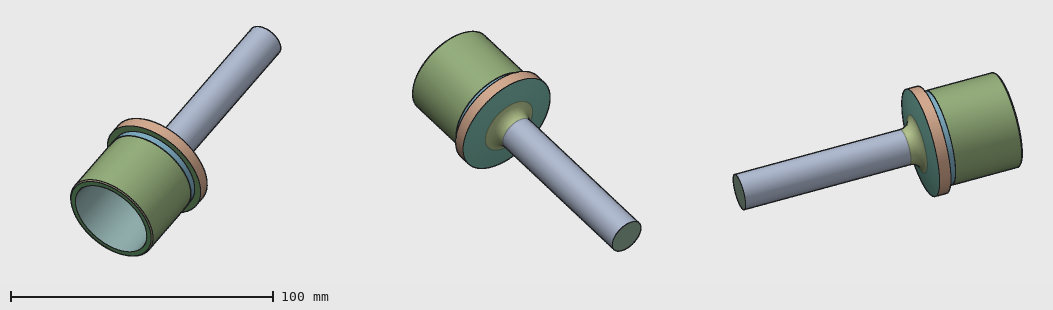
import cadquery as cq
import math

TOTAL_LENGTH = 108.0
RELIEF_START = 27.2
COLLAR_START = 30.0
COLLAR_END = 34.6

TUBE_DIAMETER = 42.4
TUBE_WALL = 2.5
COLLAR_RADIUS = TUBE_DIAMETER / 2
PLUG_RADIUS = COLLAR_RADIUS - TUBE_WALL
RELIEF_DEPTH = 0.2
RELIEF_RADIUS = PLUG_RADIUS - RELIEF_DEPTH
MOUTH_CHAMFER = 0.5

SHANK_RADIUS = 7.0
FLARE_RADIUS = 5.0
SHOULDER_RADIUS = 110.0

PLUG_WALL = 2.5
BORE_RADIUS = PLUG_RADIUS - PLUG_WALL
BORE_DEPTH = COLLAR_START
BORE_FLOOR_FILLET = 1.0


def outer_profile():
    """Half outline as (radius, Y), closed along the axis of revolution."""
    dome_centre_y = COLLAR_END - math.sqrt(SHOULDER_RADIUS**2 - COLLAR_RADIUS**2)

    flare_centre_radius = SHANK_RADIUS + FLARE_RADIUS
    centre_distance = SHOULDER_RADIUS + FLARE_RADIUS
    shank_start = dome_centre_y + math.sqrt(centre_distance**2 - flare_centre_radius**2)
    flare_sweep = math.acos(flare_centre_radius / centre_distance)

    def flare_point(angle):
        """Point on the flare at an angle turned from the shank end."""
        return (
            flare_centre_radius - FLARE_RADIUS * math.cos(angle),
            shank_start - FLARE_RADIUS * math.sin(angle),
        )

    return (
        cq.Workplane("ZY")
        .moveTo(0, 0)
        .lineTo(PLUG_RADIUS - MOUTH_CHAMFER, 0)
        .lineTo(PLUG_RADIUS, MOUTH_CHAMFER)
        .lineTo(PLUG_RADIUS, RELIEF_START)
        .lineTo(RELIEF_RADIUS, RELIEF_START)
        .lineTo(RELIEF_RADIUS, COLLAR_START)
        .lineTo(COLLAR_RADIUS, COLLAR_START)
        .lineTo(COLLAR_RADIUS, COLLAR_END)
        .radiusArc(flare_point(flare_sweep), -SHOULDER_RADIUS)
        .threePointArc(flare_point(flare_sweep / 2), (SHANK_RADIUS, shank_start))
        .lineTo(SHANK_RADIUS, TOTAL_LENGTH)
        .lineTo(0, TOTAL_LENGTH)
        .close()
    )


def bore_profile():
    """Half outline of the bore, as (radius, Y)."""
    return (
        cq.Workplane("ZY")
        .moveTo(0, 0)
        .lineTo(BORE_RADIUS, 0)
        .lineTo(BORE_RADIUS, BORE_DEPTH - BORE_FLOOR_FILLET)
        .radiusArc((BORE_RADIUS - BORE_FLOOR_FILLET, BORE_DEPTH), -BORE_FLOOR_FILLET)
        .lineTo(0, BORE_DEPTH)
        .close()
    )


def revolve_about_y(profile):
    return profile.revolve(360, (0, 0, 0), (0, 1, 0))


result = revolve_about_y(outer_profile()).cut(revolve_about_y(bore_profile()))